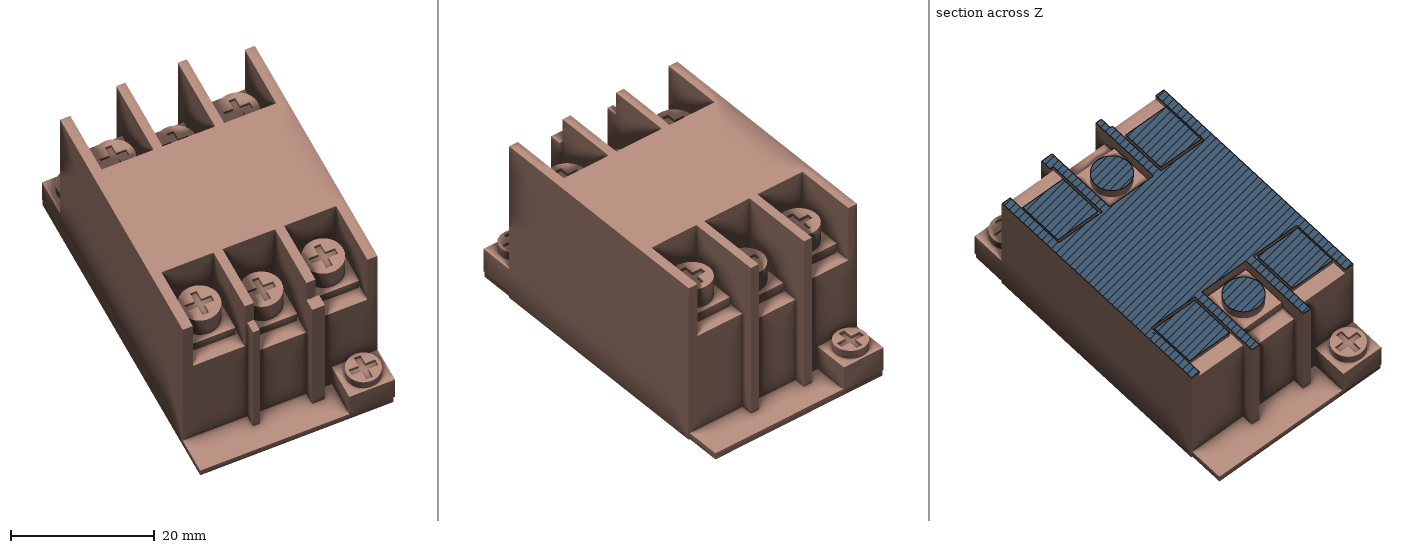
import cadquery as cq

housing_length = 40.05
housing_width = 29.9
housing_height = 26.05
housing_end = housing_length / 2
housing_side = housing_width / 2

plate_length = 51.45
plate_thickness = 1.1
plate_end = plate_length / 2
plate_setback = 0.2

stem_length = 5.6
stem_width = 16.05
stem_height = 7.1

foot_width = 7.05
foot_height = 4.05
foot_overhang = 0.2
foot_screw_radius = 2.6
foot_screw_height = 1.4

pocket_length = 10.25
outer_wall = 1.55
rib_inner_face = 4.05
rib_thickness = 1.4
rib_outer_face = rib_inner_face + rib_thickness
outer_pocket_depth = 9.35
middle_pocket_depth = 11.65

terminal_x = 13.9
terminal_pitch = 9.5
pad_size = 7.5
pad_height = 1.6
terminal_screw_radius = 3.05
terminal_screw_height = 3.35

cross_length = 4.1
cross_width = 1.05
cross_depth = 0.5

barrier_reach = 1.9
low_barrier_drop = 4.0
wide_barrier_thickness = 1.95
thin_barrier_thickness = 1.05


def block(x_range, y_range, z_range):
    """Box spanning the given (low, high) ranges."""
    sizes = [high - low for low, high in (x_range, y_range, z_range)]
    corner = (x_range[0], y_range[0], z_range[0])
    return cq.Workplane("XY").box(*sizes, centered=False).translate(corner)


def centred_block(x, y, z, length, width, height):
    """Box centred on (x, y) with its underside at z."""
    box = cq.Workplane("XY").box(length, width, height, centered=(True, True, False))
    return box.translate((x, y, z))


def screw_head(x, y, z, radius, height):
    """Round screw head seated at z, with a cross recess in its top."""
    head = cq.Workplane("XY").circle(radius).extrude(height).translate((x, y, z))
    recess_floor = z + height - cross_depth
    for length, width in ((cross_length, cross_width), (cross_width, cross_length)):
        head = head.cut(centred_block(x, y, recess_floor, length, width, cross_depth))
    return head


def make_base():
    plate = block(
        (-plate_end, plate_end),
        (-housing_side, housing_side - plate_setback),
        (-plate_thickness, 0),
    )
    stem = centred_block(0, 0, -plate_thickness - stem_height, stem_length, stem_width, stem_height)
    return plate.union(stem)


def make_housing():
    full_height = housing_height + plate_thickness
    housing = centred_block(0, 0, -plate_thickness, housing_length, housing_width, full_height)
    wall_inner_face = housing_side - outer_wall
    pockets = (
        ((-wall_inner_face, -rib_outer_face), outer_pocket_depth),
        ((-rib_inner_face, rib_inner_face), middle_pocket_depth),
        ((rib_outer_face, wall_inner_face), outer_pocket_depth),
    )
    pocket_inner_end = housing_end - pocket_length
    for y_range, depth in pockets:
        z_range = (housing_height - depth, housing_height)
        housing = housing.cut(block((-housing_end, -pocket_inner_end), y_range, z_range))
        housing = housing.cut(block((pocket_inner_end, housing_end), y_range, z_range))
    return housing


def add_terminals(body):
    for row in (-1, 0, 1):
        y = row * terminal_pitch
        depth = outer_pocket_depth if row else middle_pocket_depth
        floor = housing_height - depth
        for x in (-terminal_x, terminal_x):
            body = body.union(centred_block(x, y, floor, pad_size, pad_size, pad_height))
            body = body.union(
                screw_head(x, y, floor + pad_height, terminal_screw_radius, terminal_screw_height)
            )
    return body


def add_barriers(body):
    left_span = (-housing_end - barrier_reach, -housing_end)
    for y_range in ((-rib_outer_face, -rib_inner_face), (rib_inner_face, rib_outer_face)):
        body = body.union(block(left_span, y_range, (0, housing_height)))

    right_span = (housing_end, housing_end + barrier_reach)
    low_height = (0, housing_height - low_barrier_drop)
    wide_range = (rib_inner_face, rib_inner_face + wide_barrier_thickness)
    thin_range = (-rib_inner_face - thin_barrier_thickness, -rib_inner_face)
    for y_range in (wide_range, thin_range):
        body = body.union(block(right_span, y_range, low_height))
    return body


def add_feet(body):
    foot_inner_side = housing_side - foot_width
    feet = (
        ((-plate_end - foot_overhang, -housing_end), (-housing_side, -foot_inner_side)),
        ((housing_end, plate_end), (foot_inner_side, housing_side)),
    )
    for x_range, y_range in feet:
        body = body.union(block(x_range, y_range, (0, foot_height)))
        x = sum(x_range) / 2
        y = sum(y_range) / 2
        body = body.union(screw_head(x, y, foot_height, foot_screw_radius, foot_screw_height))
    return body


body = make_base().union(make_housing())
body = add_terminals(body)
body = add_barriers(body)
result = add_feet(body)